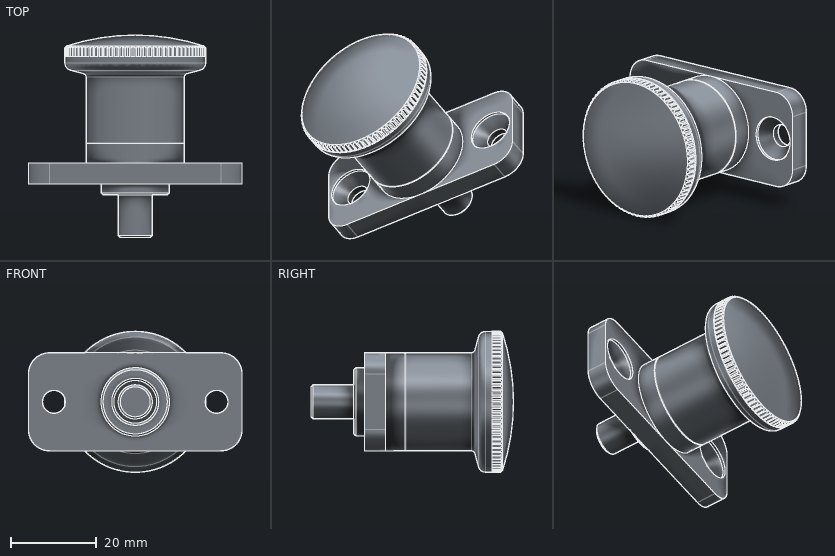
import cadquery as cq
import math


plate_length = 50.0
plate_width = 23.0
plate_thickness = 5.0
plate_corner_radius = 5.0
screw_hole_radius = 2.65
screw_hole_offset = 19.0
screw_head_radius = 5.2
screw_head_recess = 0.65
boss_radius = 8.0
boss_height = 2.5
collar_radius = plate_width / 2
collar_end = 9.5
edge_chamfer = 0.5

pin_radius = 4.0
pin_tip = -12.5
stem_radius = 5.0
stem_front = edge_chamfer - boss_height
sleeve_radius = collar_radius
sleeve_edge_fillet = 0.25
knob_radius = 16.5
knob_back_angle = 15.0
knob_back_edge = 27.0
knob_back_fillet = 1.8
neck_fillet = 0.8
neck_y = knob_back_edge - (knob_radius - sleeve_radius) * math.tan(math.radians(knob_back_angle))
crown_chamfer = 0.5
crown_edge = 32.35
crown_top = 34.9

groove_count = 80
groove_depth = 0.5
groove_land = 0.3
groove_start = 29.85
groove_phase = 2.6


def along_y(start):
    """Workplane across the Y axis at the given Y; its normal points toward -Y."""
    return cq.Workplane("XZ", origin=(0, start, 0))


def cylinder(radius, start, end):
    """Cylinder on the Y axis between two Y positions."""
    return along_y(start).circle(radius).extrude(start - end)


def fillet_ring(body, ring_radius, ring_y, fillet_radius):
    """Fillet the circular edge of the given radius that lies at the given Y."""
    margin = 0.05
    reach = ring_radius + margin
    ring = cq.selectors.BoxSelector(
        (-reach, ring_y - margin, -reach), (reach, ring_y + margin, reach), boundingbox=True
    )
    outermost = cq.selectors.RadiusNthSelector(-1)
    return body.edges(ring).edges("%CIRCLE").edges(outermost).fillet(fillet_radius)


def make_screw_hole():
    """Cutter on the Y axis: through hole, 90 degree countersink and shallow head recess at the back."""
    countersink_end = plate_thickness - screw_head_recess
    countersink_start = countersink_end - (screw_head_radius - screw_hole_radius)
    return (
        cq.Workplane("XY")
        .lineTo(screw_hole_radius, 0)
        .lineTo(screw_hole_radius, countersink_start)
        .lineTo(screw_head_radius, countersink_end)
        .lineTo(screw_head_radius, plate_thickness)
        .lineTo(0, plate_thickness)
        .close()
        .revolve(360, (0, 0, 0), (0, 1, 0))
    )


def make_housing():
    """Plate with two screw holes, front boss, rear collar and a chamfered through bore."""
    plate = along_y(0).rect(plate_length, plate_width).extrude(-plate_thickness)
    plate = plate.edges("|Y").fillet(plate_corner_radius)
    boss = cylinder(boss_radius, -boss_height, 0).faces("<Y").chamfer(edge_chamfer)
    collar = cylinder(collar_radius, plate_thickness, collar_end)
    bore = cylinder(stem_radius, -boss_height, collar_end)
    body = plate.union(boss).union(collar).cut(bore)
    for side in (-1, 1):
        body = body.cut(make_screw_hole().translate((side * screw_hole_offset, 0, 0)))
    bore_rim = cq.selectors.RadiusNthSelector(0)
    return body.faces("<Y").edges(bore_rim).chamfer(edge_chamfer)


def make_plunger_blank():
    """Turned profile of the plunger, from the pin tip to the domed crown, without the knurl."""
    crown_edge_radius = knob_radius - crown_chamfer
    crown_height = crown_top - crown_edge
    dome_radius = (crown_edge_radius**2 + crown_height**2) / (2 * crown_height)
    mid_radius = crown_edge_radius / 2
    mid_y = crown_top - dome_radius + math.sqrt(dome_radius**2 - mid_radius**2)
    blank = (
        cq.Workplane("XY")
        .moveTo(0, pin_tip)
        .lineTo(pin_radius - edge_chamfer, pin_tip)
        .lineTo(pin_radius, pin_tip + edge_chamfer)
        .lineTo(pin_radius, stem_front)
        .lineTo(stem_radius, stem_front)
        .lineTo(stem_radius, collar_end)
        .lineTo(sleeve_radius, collar_end)
        .lineTo(sleeve_radius, neck_y)
        .lineTo(knob_radius, knob_back_edge)
        .lineTo(knob_radius, crown_edge - crown_chamfer)
        .lineTo(crown_edge_radius, crown_edge)
        .threePointArc((mid_radius, mid_y), (0, crown_top))
        .close()
        .revolve(360, (0, 0, 0), (0, 1, 0))
    )
    blank = fillet_ring(blank, sleeve_radius, collar_end, sleeve_edge_fillet)
    blank = fillet_ring(blank, sleeve_radius, neck_y, neck_fillet)
    return fillet_ring(blank, knob_radius, knob_back_edge, knob_back_fillet)


def make_knurl_grooves():
    """Triangular cutters spaced evenly around the knob rim, open toward the crown."""
    pitch_angle = 2 * math.pi / groove_count
    half_mouth = (knob_radius * pitch_angle - groove_land) / 2
    root_radius = knob_radius - groove_depth
    overshoot = 0.5
    outer_half_width = half_mouth * (groove_depth + overshoot) / groove_depth
    cutter = (
        along_y(groove_start)
        .moveTo(root_radius, 0)
        .lineTo(knob_radius + overshoot, outer_half_width)
        .lineTo(knob_radius + overshoot, -outer_half_width)
        .close()
        .extrude(groove_start - crown_top)
    )
    cutters = []
    for index in range(groove_count):
        angle = groove_phase + index * 360 / groove_count
        cutters.append(cutter.rotate((0, 0, 0), (0, 1, 0), angle).val())
    return cutters


def make_plunger():
    """Plunger with its knurled knob."""
    blank = make_plunger_blank().val()
    return cq.Workplane(blank.cut(*make_knurl_grooves()))


housing = make_housing()
plunger = make_plunger()

result = cq.Compound.makeCompound([housing.val(), plunger.val()])